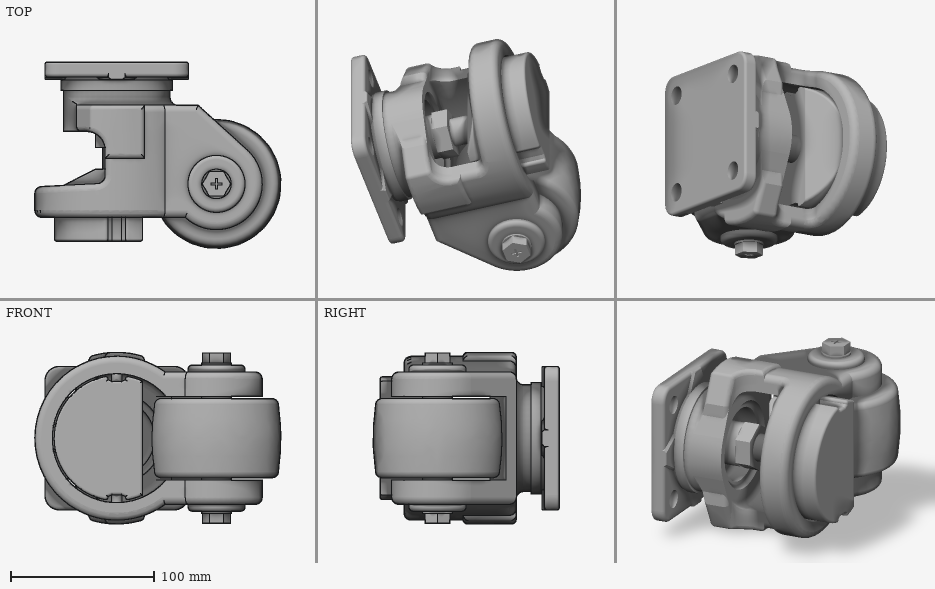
import cadquery as cq
import math


plate_side = 100.3
plate_base = 10.5
plate_full = 12.2
plate_corner = 10.3
plate_back_edge = 1.9
plate_front_edge = 2.4
rib_edge = 1.0
hole_spacing = 70.0
hole_diameter = 13.0
rib_end_width = 8.6
rib_flare = 0.55
rib_side_slope = 1.5

spacer_radius = 38.1
flange_radius = 39.0
flange_top = 12.7
flange_bottom = 19.8
neck_radius = 37.3
head_bottom = 48.5
recess_rim_radius = 31.6
recess_rim_depth = 3.1
recess_rim_edge = 2.2
recess_radius = 26.5
recess_depth = 16.3
recess_edge = 3.6
flare_radius = 5.0

yoke_radius = 57.2
yoke_top = 30.0
yoke_bottom = 108.4
yoke_edge = 5.0
bore_radius = 45.0
bore_floor_edge = 4.8
arm_outer = 46.2
arm_inner = 29.2
arm_end_radius = 32.0
arm_shoulder_x = 56.7
wheel_clearance = 48.1

window_x = -8.0
window_top_radius = 13.0
window_bottom_radius = 5.8
ring_top = 84.9
ring_top_drop = 2.2

cheek_radius = 60.0
cheek_right = 19.2
cheek_left = -18.2
cheek_bottom = 67.3
cheek_edge = 3.5
tangent_z = 15.6
wedge_z = 28.3
cheek_knee_z = 37.5

wheel_radius = 45.0
axle_x = 171.8 - yoke_radius - wheel_radius
axle_depth = 85.0
wheel_half_width = 27.7
wheel_shoulder = 4.6
wheel_rim_radius = 43.3
hub_radius = 10.3
boss_radius = 20.0
boss_top = 51.0
boss_edge = 3.1
collar_top = 52.4
bolt_top = 59.5
bolt_across_flats = 17.2
cross_length = 7.4
cross_width = 1.5
cross_depth = 0.9

nut_radius = 17.2
nut_shoulder_radius = 15.5
nut_bottom = 59.8
stem_radius = 9.8
foot_radius = 43.6
foot_top = 74.7
foot_bottom = 125.0
foot_flat_x = 18.0
foot_slope_x = -15.0
foot_slope = 0.51
foot_edge = 1.7
notch_outer_width = 12.0
notch_lip = 1.9
notch_shoulder = 40.7
notch_inner_width = 6.5
notch_floor = 39.5
pin_radius = 3.6
pin_depth = 103.1

far = 137.5
overlap = 1.7
tolerance = 0.02


def at_depth(depth):
    """Sketch plane in X and Z, facing -Y, at a depth below the plate face."""
    return cq.Workplane("XZ", origin=(0, -depth, 0))


def cylinder(radius, top, bottom):
    return at_depth(top).circle(radius).extrude(bottom - top)


def box(x_range, depth_range, z_range):
    size = [x_range[1] - x_range[0], depth_range[1] - depth_range[0], z_range[1] - z_range[0]]
    corner = (x_range[0], -depth_range[1], z_range[0])
    return cq.Workplane("XY").box(*size, centered=False).translate(corner)


def with_mirror(solid):
    return solid.union(solid.mirror("XY"))


def fillet_where(solid, radius, wanted):
    """Fillet the edges whose two end points satisfy a test."""
    edges = [e for e in solid.edges().vals() if wanted(e.startPoint(), e.endPoint())]
    return cq.Workplane(solid.val().fillet(radius, edges))


def make_plate():
    plate = at_depth(0).rect(plate_side, plate_side).extrude(plate_base)
    plate = plate.edges("|Y").fillet(plate_corner)
    plate = plate.faces(">Y").edges().fillet(plate_back_edge)
    plate = plate.faces("<Y").edges().fillet(plate_front_edge)
    half = plate_side / 2
    end = rib_end_width / 2 + rib_side_slope
    root = end + rib_flare * half
    rib = at_depth(plate_back_edge).polyline([(0, root), (half, end), (half, -end), (0, -root)]).close()
    rib = rib.extrude(plate_full - plate_back_edge)
    rib = rib.faces("<Y").edges("not #X").edges("<Z or >Z").chamfer(rib_side_slope)
    rib = rib.faces("<Y").edges(">X").fillet(rib_edge)
    for angle in range(0, 360, 90):
        plate = plate.union(rib.rotate((0, 0, 0), (0, 1, 0), angle))
    holes = at_depth(0).rect(hole_spacing, hole_spacing, forConstruction=True).vertices()
    return plate.cut(holes.circle(hole_diameter / 2).extrude(plate_full))


def make_neck():
    spacer = cylinder(spacer_radius, plate_base, flange_top)
    flange = cylinder(flange_radius, flange_top, flange_bottom)
    return spacer.union(flange).union(cylinder(neck_radius, flange_bottom, head_bottom))


def make_head_half():
    """Half of the head's column, by section: wedge tangent to the neck, flank, slope, then an arc."""
    tangent_x = -math.sqrt(neck_radius**2 - tangent_z**2)
    wedge_x = tangent_x + (wedge_z - tangent_z) * tangent_z / -tangent_x
    left_z = math.sqrt(cheek_radius**2 - cheek_left**2)
    right_z = math.sqrt(cheek_radius**2 - cheek_right**2)
    return (
        at_depth(flange_bottom)
        .moveTo(tangent_x, 0)
        .lineTo(tangent_x, tangent_z)
        .lineTo(wedge_x, wedge_z)
        .lineTo(wedge_x, cheek_knee_z)
        .lineTo(cheek_left, left_z)
        .threePointArc((0, cheek_radius), (cheek_right, right_z))
        .lineTo(cheek_right, 0)
        .close()
        .extrude(cheek_bottom - flange_bottom)
    )


def make_opening(top):
    """Side opening between the head and the ring, running through along Z."""
    left = -yoke_radius - overlap
    return (
        cq.Workplane("XY", origin=(0, 0, -far))
        .moveTo(left, -top)
        .lineTo(window_x - window_top_radius, -top)
        .radiusArc((window_x, -top - window_top_radius), window_top_radius)
        .lineTo(window_x, -ring_top + window_bottom_radius)
        .radiusArc((window_x - window_bottom_radius, -ring_top), window_bottom_radius)
        .lineTo(left, -ring_top - ring_top_drop)
        .close()
        .extrude(2 * far)
    )


def make_cheeks():
    """Blocks on both sides of the head, standing slightly proud of the yoke."""
    cheek = make_head_half().cut(box((-far, far), (0, yoke_top), (-far, far)))
    cheek = cheek.cut(make_opening(head_bottom))

    def is_outer(start, end):
        ends = (start, end)
        rounded = all(math.hypot(p.x, p.z) > cheek_radius - tolerance for p in ends)
        on_back = all(p.y > -yoke_top - tolerance and p.z > cheek_knee_z - tolerance for p in ends)
        left_flank = all(p.x < cheek_left + tolerance and p.z > wedge_z - tolerance for p in ends)
        under_flank = left_flank and max(start.y, end.y) < -head_bottom + tolerance
        return rounded or on_back or under_flank

    return with_mirror(fillet_where(cheek, cheek_edge, is_outer))


def make_arms():
    """Side plates: straight back, slope tangent to the round end, step down to the yoke."""
    shoulder_x = arm_shoulder_x - axle_x
    shoulder_y = axle_depth - yoke_top
    reach = math.hypot(shoulder_x, shoulder_y)
    tangent_angle = math.atan2(shoulder_y, shoulder_x) - math.acos(arm_end_radius / reach)
    step = yoke_bottom - axle_depth
    corner_angle = math.pi + math.asin(step / arm_end_radius)

    def on_end(angle):
        return (axle_x + arm_end_radius * math.cos(angle), -axle_depth + arm_end_radius * math.sin(angle))

    arm = (
        cq.Workplane("XY")
        .moveTo(0, -yoke_top)
        .lineTo(arm_shoulder_x, -yoke_top)
        .lineTo(*on_end(tangent_angle))
        .threePointArc(on_end(0), on_end(corner_angle))
        .lineTo(0, -yoke_bottom)
        .close()
        .extrude(arm_outer)
    )
    arm = arm.faces(">Z").edges().fillet(yoke_edge)
    return with_mirror(arm)


def make_wheel_gap():
    """Space between the arms, leaving a curved web behind the wheel."""
    gap = box((0, far), (head_bottom, far), (-arm_inner, arm_inner))
    around_wheel = cq.Workplane("XY", origin=(axle_x, -axle_depth, -arm_inner)).circle(wheel_clearance)
    return gap.union(around_wheel.extrude(2 * arm_inner))


def make_shell():
    """Round body whose left side keeps only the ring at the bottom."""
    shell = cylinder(yoke_radius, yoke_top, yoke_bottom).faces(">Y or <Y").edges().fillet(yoke_edge)
    shell = shell.cut(make_opening(yoke_top - window_top_radius - overlap))

    def is_opening_rim(start, end):
        ends = (start, end)
        on_side = all(math.hypot(p.x, p.z) > yoke_radius - tolerance for p in ends)
        below_top = all(-p.y > yoke_top + yoke_edge - tolerance for p in ends)
        above_bottom = all(-p.y < yoke_bottom - yoke_edge - tolerance for p in ends)
        return on_side and below_top and above_bottom

    return fillet_where(shell, yoke_edge, is_opening_rim)


def make_flare():
    """Concave blend from the neck out to the back of the yoke, kept inside the yoke's own section."""
    blend_top = yoke_top - flare_radius
    blend = (
        cq.Workplane("XY")
        .moveTo(0, -blend_top)
        .lineTo(neck_radius, -blend_top)
        .radiusArc((neck_radius + flare_radius, -yoke_top), -flare_radius)
        .lineTo(0, -yoke_top - flare_radius)
        .close()
        .revolve(360, (0, 0, 0), (0, 1, 0))
    )
    right_side = box((cheek_right, far), (0, head_bottom), (-far, far))
    return blend.intersect(with_mirror(make_head_half()).union(right_side))


def make_recess():
    """Stepped pocket in the underside of the head, with rounded floors."""
    rim = cylinder(recess_rim_radius, head_bottom - recess_rim_depth, head_bottom)
    rim = rim.faces(">Y").edges().fillet(recess_rim_edge)
    pocket = cylinder(recess_radius, head_bottom - recess_depth, head_bottom)
    return rim.union(pocket.faces(">Y").edges().fillet(recess_edge))


def make_yoke():
    yoke = make_shell().union(make_arms()).union(make_cheeks())
    bore = cylinder(bore_radius, head_bottom, yoke_bottom).faces(">Y").edges().fillet(bore_floor_edge)
    yoke = yoke.cut(bore).cut(make_wheel_gap())
    return yoke.union(make_neck()).union(make_flare()).cut(make_recess())


def make_wheel():
    rim_z = wheel_half_width - wheel_shoulder
    shoulder_r = wheel_rim_radius - wheel_shoulder
    mid = wheel_shoulder * math.sqrt(0.5)
    return (
        cq.Workplane("XZ", origin=(axle_x, -axle_depth, 0))
        .moveTo(0, -wheel_half_width)
        .lineTo(shoulder_r, -wheel_half_width)
        .threePointArc((shoulder_r + mid, -rim_z - mid), (wheel_rim_radius, -rim_z))
        .threePointArc((wheel_radius, 0), (wheel_rim_radius, rim_z))
        .threePointArc((shoulder_r + mid, rim_z + mid), (shoulder_r, wheel_half_width))
        .lineTo(0, wheel_half_width)
        .close()
        .revolve(360, (0, 0, 0), (0, 1, 0))
    )


def make_axle():
    axle = cq.Workplane("XY", origin=(axle_x, -axle_depth, 0))
    boss = axle.circle(boss_radius).extrude(boss_top).faces(">Z").edges().fillet(boss_edge)
    boss = boss.cut(axle.circle(boss_radius).extrude(arm_inner))
    hub = axle.circle(hub_radius).extrude(collar_top)
    across_corners = bolt_across_flats / math.cos(math.pi / 6)
    bolt = axle.polygon(6, across_corners).extrude(bolt_top)
    slots = axle.workplane(offset=bolt_top - cross_depth)
    bolt = bolt.cut(slots.rect(cross_length, cross_width).extrude(cross_depth))
    bolt = bolt.cut(slots.rect(cross_width, cross_length).extrude(cross_depth))
    return with_mirror(boss.union(hub).union(bolt))


def make_pins():
    """Round pins from the ring onto the notch floors."""
    pin = cq.Workplane("XY", origin=(0, -pin_depth, notch_floor - overlap)).circle(pin_radius)
    return with_mirror(pin.extrude(bore_radius - notch_floor + 2 * overlap))


def make_notch():
    """Groove along the rim of the foot, narrower at its floor."""
    outer = notch_outer_width / 2
    inner = notch_inner_width / 2
    points = [
        (-outer, foot_radius + overlap),
        (outer, foot_radius + overlap),
        (outer, notch_shoulder),
        (inner, notch_floor),
        (-inner, notch_floor),
        (-outer, notch_shoulder),
    ]
    return at_depth(foot_top).polyline(points).close().extrude(foot_bottom - foot_top)


def make_foot():
    foot = cylinder(foot_radius, foot_top, foot_bottom)
    foot = foot.cut(box((foot_flat_x, far), (0, far), (-far, far)))
    foot = foot.cut(with_mirror(make_notch()))

    def is_lip(start, end):
        on_rim = all(math.hypot(p.x, p.z) > foot_radius - tolerance for p in (start, end))
        return on_rim and start.x == end.x and abs(start.x) < notch_outer_width

    foot = fillet_where(foot, notch_lip, is_lip)
    foot = foot.faces("<Y").edges().fillet(foot_edge)
    slope = (
        cq.Workplane("XY", origin=(0, 0, -far))
        .moveTo(foot_slope_x, -foot_top)
        .lineTo(-far, -foot_top - foot_slope * (foot_slope_x + far))
        .lineTo(-far, 0)
        .lineTo(foot_slope_x, 0)
        .close()
        .extrude(2 * far)
    )
    foot = foot.cut(slope)

    def is_slope_rim(start, end):
        return all(abs(p.x - foot_slope_x) < tolerance for p in (start, end))

    return fillet_where(foot, foot_edge, is_slope_rim)


def make_stem():
    """Nut with a round shoulder under the head, and the rod down into the foot."""
    nut = at_depth(head_bottom).polygon(6, 2 * nut_radius).extrude(nut_bottom - head_bottom)
    nut = nut.rotate((0, 0, 0), (0, 1, 0), 90)
    nut = nut.union(cylinder(nut_shoulder_radius, flange_bottom, head_bottom))
    stem = cylinder(stem_radius, flange_top, foot_bottom - overlap)
    return nut.union(stem)


result = make_plate().union(make_yoke()).union(make_wheel()).union(make_axle())
result = result.union(make_pins()).union(make_stem()).union(make_foot())